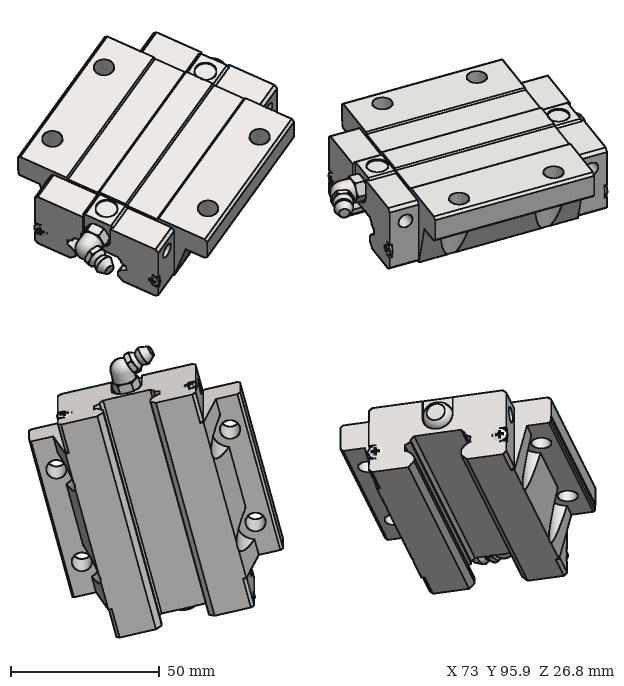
import cadquery as cq
import math


block_length = 59.1
block_height = 26.8
flange_width = 73.0
flange_bottom = 16.75
flange_chamfer = 1.0
flange_lower_chamfer = 0.6
datum_step = 0.2
datum_step_height = 19.3
web_top_half_width = 28.1
web_bottom_half_width = 23.8
groove_inner = 5.1
groove_outer = 17.7
groove_depth = 0.6

hole_diameter = 6.8
hole_pitch_x = 60.0
hole_pitch_y = 35.0
clearance_radius = 6.3

cap_half_width = 23.8
cap_height = 25.2
cap_chamfer = 1.15
cap_body_thickness = 9.9
seal_thickness = 1.0
pad_height = 25.7
pad_bottom_half_width = 5.8
pad_top_half_width = 5.0

mouth_half_width = 10.1
lip_half_width = 8.1
lip_bottom = 2.0
lip_top = 3.7
track_curve_point = (9.5, 5.55)
track_half_width = 11.4
track_bottom = 6.7
track_top = 8.7
shoulder_half_width = 9.4
shoulder_bottom = 9.9
shoulder_top = 10.5
ceiling_half_width = 8.1
channel_height = 11.9

port_height = 18.8
port_notch_radius = 5.3
side_port_y = 34.5
side_port_diameter = 5.2
side_port_depth = 7.7
top_port_y = 33.6
top_port_diameter = 7.4
top_port_depth = 0.6

screw_x = 21.5
screw_z = 7.85
screw_radius = 2.6
screw_rim_height = 1.0
screw_height = 1.4
cross_length = 2.6
cross_width = 0.6
cross_depth = 0.8

plug_radius = 5.2
plug_tip_radius = 3.2
plug_rim_height = 0.2
plug_height = 3.3
plug_bulge = 0.4

base_hex_flats = 8.1
base_hex_length = 3.7
elbow_radius = 3.9
elbow_length = 3.7
nozzle_angle = 21.0
hex_corner_chamfer = 0.4
collar_flats = 6.9
collar_start = 3.35
collar_end = 5.4
neck_radius = 2.4
neck_distance = 6.9
bulb_radius = 3.3
bulb_distance = 9.0
bulb_bulge = 0.2
tip_radius = 1.8
tip_distance = 11.9

cap_body_end = block_length / 2 + cap_body_thickness
cap_end = cap_body_end + seal_thickness
SIDES = (-1, 1)


def prism_along_y(outline, y_start, y_end):
    """Extrude an XZ outline from y_start to y_end."""
    return outline.extrude(y_start - y_end).translate((0, y_start, 0))


def y_plane(y, x=0, z=0):
    """Workplane at the given point whose normal is +Y, with local x along +X."""
    return cq.Workplane(cq.Plane(origin=(x, y, z), xDir=(1, 0, 0), normal=(0, 1, 0)))


def make_block():
    outer = flange_width / 2
    stepped = outer - datum_step
    low = flange_lower_chamfer
    left_groove = [
        (-groove_inner, block_height),
        (-groove_inner - groove_depth, block_height - groove_depth),
        (-groove_outer + groove_depth, block_height - groove_depth),
        (-groove_outer, block_height),
    ]
    right_groove = [(-x, z) for x, z in reversed(left_groove)]
    left_side = [
        (-outer + flange_chamfer, block_height),
        (-outer, block_height - flange_chamfer),
        (-outer, datum_step_height),
        (-stepped, datum_step_height - datum_step),
        (-stepped, flange_bottom + low),
        (-stepped + low, flange_bottom),
        (-web_top_half_width, flange_bottom),
        (-web_bottom_half_width, 0),
    ]
    right_side = [
        (web_bottom_half_width, 0),
        (web_top_half_width, flange_bottom),
        (outer - flange_chamfer, flange_bottom),
        (outer, flange_bottom + flange_chamfer),
        (outer, block_height - flange_chamfer),
        (outer - flange_chamfer, block_height),
    ]
    outline = cq.Workplane("XZ").polyline(left_groove + left_side + right_side + right_groove).close()
    block = prism_along_y(outline, -block_length / 2, block_length / 2)

    hole_centers = [(i * hole_pitch_x / 2, j * hole_pitch_y / 2) for i in SIDES for j in SIDES]
    holes = cq.Workplane().pushPoints(hole_centers).circle(hole_diameter / 2).extrude(block_height)
    clearances = cq.Workplane().pushPoints(hole_centers).circle(clearance_radius).extrude(flange_bottom)
    return block.cut(holes).cut(clearances)


def make_rail_channel():
    """Rail clearance with a ball-track groove on each side, open at the bottom."""
    half_outline = (
        cq.Workplane("XZ")
        .lineTo(mouth_half_width, 0)
        .lineTo(lip_half_width, lip_bottom)
        .lineTo(lip_half_width, lip_top)
        .threePointArc(track_curve_point, (track_half_width, track_bottom))
        .lineTo(track_half_width, track_top)
        .lineTo(shoulder_half_width, shoulder_bottom)
        .lineTo(shoulder_half_width, shoulder_top)
        .lineTo(ceiling_half_width, channel_height)
        .lineTo(0, channel_height)
        .close()
    )
    half_channel = prism_along_y(half_outline, -cap_end, cap_end)
    return half_channel.union(half_channel.mirror("YZ"))


def make_screw(x):
    """Domed cross-recess screw head standing on the rear cap body."""
    crown = screw_height - screw_rim_height
    crown_radius = (screw_radius**2 + crown**2) / (2 * crown)
    mid = screw_radius / 2
    mid_height = screw_height - crown_radius + math.sqrt(crown_radius**2 - mid**2)
    head = (
        cq.Workplane("XY")
        .lineTo(screw_radius, 0)
        .lineTo(screw_radius, screw_rim_height)
        .threePointArc((mid, mid_height), (0, screw_height))
        .close()
        .revolve(360, (0, 0), (0, 1))
        .translate((x, cap_body_end, screw_z))
    )
    recess_plane = y_plane(cap_body_end + screw_height - cross_depth, x, screw_z)
    for size in ((cross_length, cross_width), (cross_width, cross_length)):
        head = head.cut(recess_plane.rect(*size).extrude(cross_depth))
    return head


def make_seal_openings():
    """Seal plate openings: a U around the end port and an open-sided slot for each screw."""
    port_round = y_plane(cap_body_end, 0, port_height).circle(port_notch_radius).extrude(seal_thickness)
    port_slot = (
        cq.Workplane()
        .box(2 * port_notch_radius, seal_thickness, cap_height, centered=(True, False, False))
        .translate((0, cap_body_end, port_height))
    )
    openings = port_round.union(port_slot)
    for side in SIDES:
        seat = y_plane(cap_body_end, side * screw_x, screw_z)
        slot = y_plane(cap_body_end, side * (screw_x + screw_radius), screw_z)
        openings = openings.union(seat.circle(screw_radius).extrude(seal_thickness))
        openings = openings.union(slot.rect(2 * screw_radius, 2 * screw_radius).extrude(seal_thickness))
    return openings


def make_pad():
    """Raised strip with sloped flanks along the middle of the cap body."""
    outline = cq.Workplane("XZ").polyline(
        [
            (-pad_bottom_half_width, cap_height),
            (-pad_top_half_width, pad_height),
            (pad_top_half_width, pad_height),
            (pad_bottom_half_width, cap_height),
        ]
    ).close()
    return prism_along_y(outline, block_length / 2, cap_body_end)


def make_ports():
    """Shallow round recess in the pad and a blind hole in each cap flank."""
    ports = (
        cq.Workplane("XY", origin=(0, top_port_y, pad_height))
        .circle(top_port_diameter / 2)
        .extrude(-top_port_depth)
    )
    for side in SIDES:
        side_port = (
            cq.Workplane("YZ", origin=(side * cap_half_width, side_port_y, port_height))
            .circle(side_port_diameter / 2)
            .extrude(-side * side_port_depth)
        )
        ports = ports.union(side_port)
    return ports


def make_rear_cap():
    """End cap at +Y: body and seal plate, raised pad, ports and screws."""
    inner_y = block_length / 2
    cap = (
        cq.Workplane()
        .box(2 * cap_half_width, cap_end - inner_y, cap_height, centered=(True, False, False))
        .translate((0, inner_y, 0))
        .edges("|Y")
        .chamfer(cap_chamfer)
    )
    cap = cap.cut(make_seal_openings()).union(make_pad()).cut(make_ports())
    for side in SIDES:
        cap = cap.union(make_screw(side * screw_x))
    return cap


def make_plug():
    """Flat-topped domed plug closing the rear end port."""
    mid_radius = (plug_radius + plug_tip_radius) / 2 + plug_bulge
    mid_height = (plug_rim_height + plug_height) / 2 + plug_bulge
    return (
        cq.Workplane("XY")
        .lineTo(plug_radius, 0)
        .lineTo(plug_radius, plug_rim_height)
        .threePointArc((mid_radius, mid_height), (plug_tip_radius, plug_height))
        .lineTo(0, plug_height)
        .close()
        .revolve(360, (0, 0), (0, 1))
        .translate((0, cap_body_end, port_height))
    )


def hex_prism(plane, flats, length):
    """Hexagon bar on the given workplane with its corners chamfered at both ends."""
    corners = flats / math.cos(math.radians(30))
    corner_limit = plane.circle(corners / 2).extrude(length).edges().chamfer(hex_corner_chamfer)
    return plane.polygon(6, corners).extrude(length).intersect(corner_limit)


def make_nozzle():
    """Hex collar, waisted neck and bulb, built along +X from the elbow centre."""
    collar_plane = cq.Workplane("YZ", origin=(collar_start, 0, 0))
    collar = hex_prism(collar_plane, collar_flats, collar_end - collar_start)
    bulb_middle = ((neck_distance + bulb_distance) / 2, (neck_radius + bulb_radius) / 2 + bulb_bulge)
    spout = (
        cq.Workplane("XY")
        .moveTo(collar_start, 0)
        .lineTo(collar_start, neck_radius)
        .lineTo(collar_end, neck_radius)
        .lineTo(collar_end, collar_flats / 2)
        .lineTo(neck_distance, neck_radius)
        .threePointArc(bulb_middle, (bulb_distance, bulb_radius))
        .lineTo(tip_distance, tip_radius)
        .lineTo(tip_distance, 0)
        .close()
        .revolve(360, (0, 0), (1, 0))
    )
    return collar.union(spout)


def make_grease_nipple():
    """Hex base, round elbow and angled nozzle on the front end port."""
    base_y = -cap_body_end
    elbow_start = base_y - base_hex_length
    elbow_y = elbow_start - elbow_length
    base = hex_prism(y_plane(elbow_start, 0, port_height), base_hex_flats, base_hex_length)
    stem = y_plane(elbow_y, 0, port_height).circle(elbow_radius).extrude(elbow_length)
    elbow_center = (0, elbow_y, port_height)
    elbow = cq.Workplane().sphere(elbow_radius).translate(elbow_center)
    nozzle = make_nozzle().rotate((0, 0, 0), (0, 0, 1), -nozzle_angle).translate(elbow_center)
    return base.union(stem).union(elbow).union(nozzle)


rear_cap = make_rear_cap()
front_cap = rear_cap.mirror("XZ")
carriage = make_block().union(rear_cap).union(front_cap).cut(make_rail_channel())
result = carriage.union(make_plug()).union(make_grease_nipple())